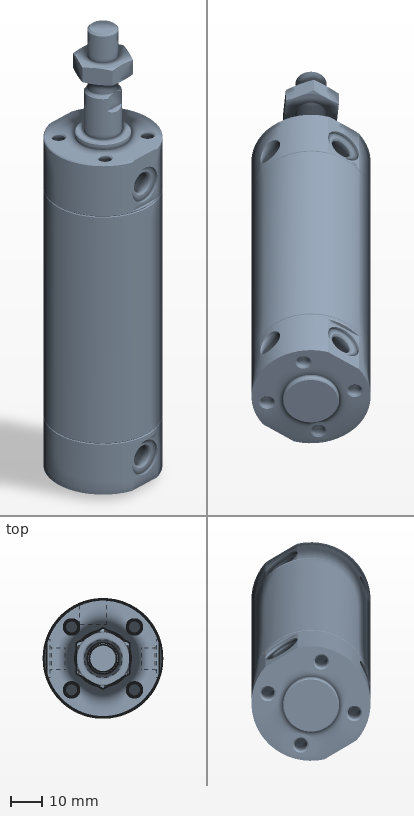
import cadquery as cq
import math

TOTAL_HEIGHT = 163.0
HEAD_BOTTOM = 2.3
HEAD_TOP = 123.0
BOSS_TOP = 125.2
UPPER_JOINT = 104.2
LOWER_JOINT = 20.9

BODY_RADIUS = 38.0 / 2
BOSS_RADIUS = 18.0 / 2
EDGE_CHAMFER = 0.3
JOINT_HALF_WIDTH = 0.25
JOINT_DEPTH = 0.25

FLAT_WIDTH = 12.0
FLAT_DISTANCE = math.sqrt(BODY_RADIUS**2 - (FLAT_WIDTH / 2) ** 2)
UPPER_FLAT_LENGTH = 18.3
LOWER_FLAT_LENGTH = 16.8
RECESS_DIAMETER = FLAT_WIDTH
RECESS_DEPTH = 1.0
SIDE_HOLE_DIAMETER = 6.8
SIDE_HOLE_MOUTH = 8.0
SIDE_HOLE_DEPTH = 4.9
SIDE_HOLE_LEVELS = (12.0, 112.1)

PORT_DIAMETER = 8.6
PORT_OFFSET = -3.3
PORT_DEPTH = 8.2
PORT_LEVELS = (13.2, 111.0)

END_HOLE_DIAMETER = 4.0
END_HOLE_MOUTH = 5.0
END_HOLE_DEPTH = 8.2
END_HOLE_SPACING = 20.0

ROD_DIAMETER = 12.0
THREAD_DIAMETER = 10.0
TIP_CHAMFER = 0.7
SHOULDER_TOP = 141.0
WRENCH_FLAT_BOTTOM = 135.5
WRENCH_FLAT_WIDTH = 10.0
ROD_BOTTOM = UPPER_JOINT

NUT_ACROSS_FLATS = 17.0
NUT_THICKNESS = 6.0
NUT_BOTTOM = 146.5
NUT_CHAMFER_ANGLE = math.radians(15)


def cylinder(radius, bottom, top):
    return cq.Workplane("XY").workplane(offset=bottom).circle(radius).extrude(top - bottom)


def threaded_hole(diameter, mouth, depth):
    """Cutter for a blind hole with a 45 degree countersink, drilled down from the origin."""
    radius = diameter / 2
    mouth_radius = mouth / 2
    profile = [
        (0, 0),
        (mouth_radius, 0),
        (radius, radius - mouth_radius),
        (radius, -depth),
        (0, -depth),
    ]
    return cq.Workplane("XZ").polyline(profile).close().revolve(360, (0, 0, 0), (0, 1, 0))


def joint_groove(level):
    """V-shaped ring cutter around the body."""
    profile = [
        (BODY_RADIUS, level - JOINT_HALF_WIDTH),
        (BODY_RADIUS - JOINT_DEPTH, level),
        (BODY_RADIUS, level + JOINT_HALF_WIDTH),
    ]
    return cq.Workplane("XZ").polyline(profile).close().revolve(360, (0, 0, 0), (0, 1, 0))


def side_flat(side, bottom, length):
    """Cutter that leaves a flat on the +X (side = 1) or -X (side = -1) face."""
    return (
        cq.Workplane("XY")
        .box(BODY_RADIUS, 2 * BODY_RADIUS, length, centered=(True, True, False))
        .translate((side * (FLAT_DISTANCE + BODY_RADIUS / 2), 0, bottom))
    )


def side_hole(side, level):
    """Cutter for a shallow round recess with a threaded hole in its floor."""
    recess = cylinder(RECESS_DIAMETER / 2, -RECESS_DEPTH, 0)
    hole = threaded_hole(SIDE_HOLE_DIAMETER, SIDE_HOLE_MOUTH, SIDE_HOLE_DEPTH)
    cutter = recess.union(hole.translate((0, 0, -RECESS_DEPTH)))
    cutter = cutter.rotate((0, 0, 0), (0, 1, 0), side * 90)
    return cutter.translate((side * FLAT_DISTANCE, 0, level))


def air_port(level):
    port = cylinder(PORT_DIAMETER / 2, 0, PORT_DEPTH).rotate((0, 0, 0), (1, 0, 0), 90)
    return port.translate((PORT_OFFSET, BODY_RADIUS, level))


def make_body():
    body = cylinder(BODY_RADIUS, HEAD_BOTTOM, HEAD_TOP).faces(">Z").edges().chamfer(EDGE_CHAMFER)
    bosses = cylinder(BOSS_RADIUS, 0, BOSS_TOP).edges().chamfer(EDGE_CHAMFER)
    body = body.union(bosses)

    for level in (UPPER_JOINT, LOWER_JOINT):
        body = body.cut(joint_groove(level))

    for side in (-1, 1):
        body = body.cut(side_flat(side, HEAD_TOP - UPPER_FLAT_LENGTH, UPPER_FLAT_LENGTH))
        body = body.cut(side_flat(side, HEAD_BOTTOM, LOWER_FLAT_LENGTH))
        for level in SIDE_HOLE_LEVELS:
            body = body.cut(side_hole(side, level))

    for level in PORT_LEVELS:
        body = body.cut(air_port(level))

    upper_hole = threaded_hole(END_HOLE_DIAMETER, END_HOLE_MOUTH, END_HOLE_DEPTH)
    lower_hole = upper_hole.rotate((0, 0, 0), (1, 0, 0), 180)
    for x in (-END_HOLE_SPACING / 2, END_HOLE_SPACING / 2):
        for y in (-END_HOLE_SPACING / 2, END_HOLE_SPACING / 2):
            body = body.cut(upper_hole.translate((x, y, HEAD_TOP)))
            body = body.cut(lower_hole.translate((x, y, HEAD_BOTTOM)))

    return body.cut(cylinder(ROD_DIAMETER / 2, ROD_BOTTOM, BOSS_TOP))


def wrench_flat(side):
    """Cutter for a flat on the rod, closed at its lower end by a sloping ledge."""
    inner = WRENCH_FLAT_WIDTH / 2
    outer = ROD_DIAMETER
    profile = [
        (side * inner, SHOULDER_TOP),
        (side * inner, WRENCH_FLAT_BOTTOM),
        (side * outer, WRENCH_FLAT_BOTTOM - (outer - inner)),
        (side * outer, SHOULDER_TOP),
    ]
    return cq.Workplane("XZ").polyline(profile).close().extrude(ROD_DIAMETER / 2, both=True)


def make_rod():
    shank_chamfer = (ROD_DIAMETER - THREAD_DIAMETER) / 2
    shank = cylinder(ROD_DIAMETER / 2, ROD_BOTTOM, SHOULDER_TOP)
    shank = shank.faces(">Z").edges().chamfer(shank_chamfer)
    thread = cylinder(THREAD_DIAMETER / 2, ROD_BOTTOM, TOTAL_HEIGHT)
    thread = thread.faces(">Z").edges().chamfer(TIP_CHAMFER)
    rod = shank.union(thread)
    for side in (-1, 1):
        rod = rod.cut(wrench_flat(side))
    return rod


def make_nut():
    """Hexagon nut with corners on the Y axis, chamfered by a cone at both ends."""
    corner_radius = NUT_ACROSS_FLATS / math.sqrt(3)
    face_radius = NUT_ACROSS_FLATS / 2
    drop = (corner_radius - face_radius) * math.tan(NUT_CHAMFER_ANGLE)
    hexagon = cq.Workplane("XY").polygon(6, 2 * corner_radius).extrude(NUT_THICKNESS)
    hexagon = hexagon.rotate((0, 0, 0), (0, 0, 1), 90)
    envelope_profile = [
        (0, 0),
        (face_radius, 0),
        (corner_radius, drop),
        (corner_radius, NUT_THICKNESS - drop),
        (face_radius, NUT_THICKNESS),
        (0, NUT_THICKNESS),
    ]
    envelope = cq.Workplane("XZ").polyline(envelope_profile).close().revolve(360, (0, 0, 0), (0, 1, 0))
    bore = cylinder(THREAD_DIAMETER / 2, 0, NUT_THICKNESS)
    return hexagon.intersect(envelope).cut(bore).translate((0, 0, NUT_BOTTOM))


body = make_body()
rod = make_rod()
nut = make_nut()

result = cq.Compound.makeCompound([body.val(), rod.val(), nut.val()])